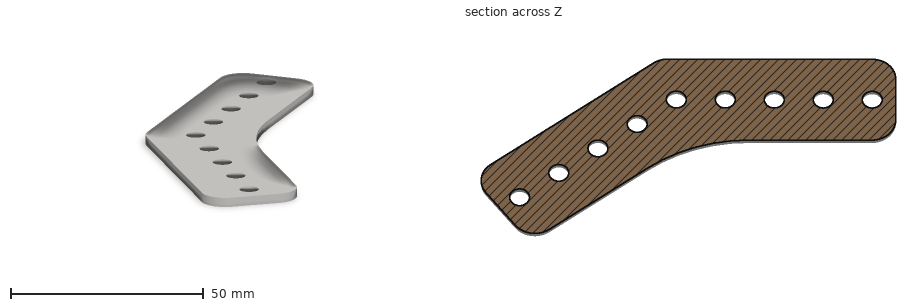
import cadquery as cq
import math

overall_length = 107.7
hole_pitch = 12.7
hole_diameter = 5.1
holes_per_arm = 4
bend_angle = 36.9
thickness = 2.5
half_width = 12.7
corner_radius = 6.4
inner_bend_radius = 43.7

angle = math.radians(180 - bend_angle)
along = (math.cos(angle), math.sin(angle))
across = (-math.sin(angle), math.cos(angle))

corner_inset = half_width - corner_radius
arm_length = (
    overall_length - corner_radius * (1 + along[0]) - corner_inset * along[1]
) / (1 - along[0])

miter = half_width * math.tan(math.radians(bend_angle / 2))


def slanted_point(distance, offset=0):
    """Point on the slanted arm, measured from the bend hole."""
    return (
        distance * along[0] + offset * across[0],
        distance * along[1] + offset * across[1],
    )


def bent_plate():
    """Plate with two equal arms and all outline corners rounded."""
    inner_corner = (miter, half_width)
    outer_corner = (-miter, -half_width)
    outline = [
        outer_corner,
        (arm_length, -half_width),
        (arm_length, half_width),
        inner_corner,
        slanted_point(arm_length, -half_width),
        slanted_point(arm_length, half_width),
    ]
    plate = cq.Workplane("XY").polyline(outline).close().extrude(thickness)
    middle = thickness / 2
    inner_edge = cq.selectors.NearestToPointSelector((*inner_corner, middle))
    plate = plate.edges("|Z").edges(inner_edge).fillet(inner_bend_radius)
    for x, y in outline:
        if (x, y) != inner_corner:
            corner_edge = cq.selectors.NearestToPointSelector((x, y, middle))
            plate = plate.edges("|Z").edges(corner_edge).fillet(corner_radius)
    return plate


def hole_row():
    """Cutters for the bend hole and the holes along both arms."""
    centers = [(0, 0)]
    for index in range(1, holes_per_arm + 1):
        distance = index * hole_pitch
        centers.append((distance, 0))
        centers.append(slanted_point(distance))
    return cq.Workplane("XY").pushPoints(centers).circle(hole_diameter / 2).extrude(thickness)


result = bent_plate().cut(hole_row())